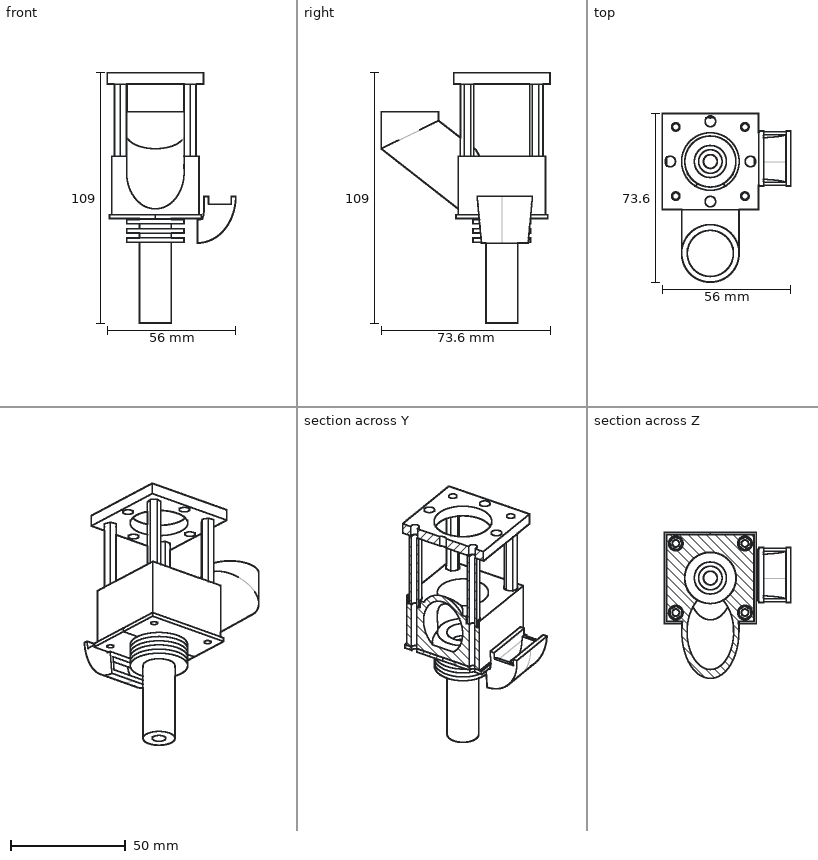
import cadquery as cq
import math

total_height = 109.0
overall_width = 56.0

plate_side = 42.0
plate_thickness = 5.0
plate_opening_diameter = 25.1
plate_screw_hole_diameter = 3.6
plate_access_hole_diameter = 4.6
plate_access_hole_offset = 17.4
plate_bottom = total_height - plate_thickness

housing_side = 38.0
housing_height = 25.4
housing_top = 72.6
housing_bottom = housing_top - housing_height
chamber_diameter = 22.2

post_offset = 15.0
post_corner_diameter = 5.9
post_socket_diameter = 6.1
post_socket_depth = 3.6
screw_diameter = 2.9
posts_layout = [(-1, -1, 26.0), (1, -1, 32.0), (-1, 1, 47.0), (1, 1, 21.0)]

pipe_diameter = 25.1
pipe_bore_diameter = 20.1
pipe_axis_y = -40.0
pipe_top = 92.0
pipe_bend_z = 82.0
pipe_slope = 38.0

clamp_side = 40.0
clamp_thickness = 1.7
clamp_bottom = housing_bottom - clamp_thickness

tube_diameter = 14.0
tube_bore_diameter = 5.9
head_height = 5.0
head_top = housing_bottom + head_height
funnel_top_diameter = 14.0
funnel_neck_diameter = 10.2
funnel_cone_depth = 0.3
fin_diameter = 25.1
fin_thickness = 2.0
fin_pitch = 4.0
fin_count = 3
fin_clearance = 0.3
top_fin_bottom = clamp_bottom - fin_clearance - fin_thickness

duct_outlet_x = 18.3
duct_near_x = 21.1
duct_far_x = overall_width - plate_side / 2
duct_top = 55.2
duct_bottom = 34.8
duct_outlet_top = 45.0
duct_roof_x = 20.4
duct_roof_z = 45.2
duct_bend_start_z = 50.1
duct_roof_bulge = 0.16
duct_wall = 2.1
duct_side_wall = 1.4
duct_center_y = 1.3
duct_top_width = 24.1
duct_bottom_width = 20.4
duct_notch_depth = 3.4


def centered_box(side, bottom, top):
    """Square block on the Z axis between two heights."""
    return cq.Workplane("XY").workplane(offset=bottom).rect(side, side).extrude(top - bottom)


def cylinder(diameter, bottom, top):
    """Cylinder on the Z axis between two heights."""
    return cq.Workplane("XY").workplane(offset=bottom).circle(diameter / 2).extrude(top - bottom)


def corner_cylinders(diameter, bottom, top):
    """One upright cylinder on each post axis."""
    return (
        cq.Workplane("XY")
        .workplane(offset=bottom)
        .rect(2 * post_offset, 2 * post_offset, forConstruction=True)
        .vertices()
        .circle(diameter / 2)
        .extrude(top - bottom)
    )


def make_plate():
    plate = centered_box(plate_side, plate_bottom, total_height)
    plate = plate.cut(cylinder(plate_opening_diameter, plate_bottom, total_height))
    plate = plate.cut(corner_cylinders(plate_screw_hole_diameter, plate_bottom, total_height))
    access_holes = (
        cq.Workplane("XY")
        .workplane(offset=plate_bottom)
        .polarArray(plate_access_hole_offset, 0, 360, 4)
        .circle(plate_access_hole_diameter / 2)
        .extrude(plate_thickness)
    )
    return plate.cut(access_holes)


def make_post(x_sign, y_sign, turn):
    bottom = housing_top - post_socket_depth
    post = (
        cq.Workplane("XY")
        .workplane(offset=bottom)
        .polygon(6, post_corner_diameter)
        .circle(screw_diameter / 2)
        .extrude(plate_bottom - bottom)
    )
    post = post.rotate((0, 0, 0), (0, 0, 1), turn)
    return post.translate((x_sign * post_offset, y_sign * post_offset, 0))


def bent_rod(diameter):
    """Rod that runs from the pipe mouth down to a mitred bend, then slopes to the Z axis."""
    inner_end_z = pipe_bend_z + pipe_axis_y * math.tan(math.radians(pipe_slope))
    path = (
        cq.Workplane("YZ")
        .moveTo(pipe_axis_y, pipe_top)
        .lineTo(pipe_axis_y, pipe_bend_z)
        .lineTo(0, inner_end_z)
    )
    mouth = cq.Workplane("XY", origin=(0, pipe_axis_y, pipe_top)).circle(diameter / 2)
    return mouth.sweep(path, transition="right")


def above(body, height):
    """The part of a body that lies above a height."""
    cutter_side = 4 * plate_side
    return body.cut(centered_box(cutter_side, -total_height, height))


def make_housing():
    block = centered_box(housing_side, housing_bottom, housing_top)
    housing = block.union(above(bent_rod(pipe_diameter), housing_bottom))
    housing = housing.cut(cylinder(chamber_diameter, housing_bottom, total_height))
    housing = housing.cut(above(bent_rod(pipe_bore_diameter), head_top))
    housing = housing.cut(corner_cylinders(screw_diameter, housing_bottom, housing_top))
    sockets = corner_cylinders(post_socket_diameter, housing_top - post_socket_depth, housing_top)
    return housing.cut(sockets)


def make_clamp_half(x_sign):
    half = (
        cq.Workplane("XY")
        .workplane(offset=clamp_bottom)
        .center(x_sign * clamp_side / 4, 0)
        .rect(clamp_side / 2, clamp_side)
        .extrude(clamp_thickness)
    )
    half = half.cut(cylinder(tube_diameter, clamp_bottom, housing_bottom))
    return half.cut(corner_cylinders(screw_diameter, clamp_bottom, housing_bottom))


def make_finned_tube():
    tube = cylinder(tube_diameter, 0, housing_bottom)
    tube = tube.union(cylinder(chamber_diameter, housing_bottom, head_top))
    for index in range(fin_count):
        fin_bottom = top_fin_bottom - index * fin_pitch
        tube = tube.union(cylinder(fin_diameter, fin_bottom, fin_bottom + fin_thickness))
    bore = (
        cq.Workplane("XZ")
        .moveTo(0, 0)
        .lineTo(tube_bore_diameter / 2, 0)
        .lineTo(tube_bore_diameter / 2, housing_bottom - funnel_cone_depth)
        .lineTo(funnel_neck_diameter / 2, housing_bottom)
        .lineTo(funnel_top_diameter / 2, head_top)
        .lineTo(0, head_top)
        .close()
        .revolve(360, (0, 0, 0), (0, 1, 0))
    )
    return tube.cut(bore)


def duct_profile(wall):
    """Side outline of the duct, inset by a wall thickness, extruded along Y."""
    near_x = duct_near_x + wall
    roof = (duct_roof_x + wall, duct_roof_z - wall)
    roof_middle = (near_x - duct_roof_bulge, (duct_bend_start_z + roof[1]) / 2)
    bend_width = duct_far_x - wall - duct_outlet_x
    bend_height = duct_top - duct_bottom - wall
    outer_bend = (
        cq.Workplane("XZ")
        .center(duct_outlet_x, duct_top)
        .ellipse(bend_width, bend_height)
        .extrude(plate_side, both=True)
    )
    bounds = (
        cq.Workplane("XZ")
        .moveTo(near_x, duct_top)
        .lineTo(near_x, duct_bend_start_z)
        .threePointArc(roof_middle, roof)
        .lineTo(duct_outlet_x, duct_outlet_top - wall)
        .lineTo(duct_outlet_x, duct_bottom)
        .lineTo(duct_far_x, duct_bottom)
        .lineTo(duct_far_x, duct_top)
        .close()
        .extrude(plate_side, both=True)
    )
    return bounds.intersect(outer_bend)


def duct_taper(side_wall):
    """Wedge along X that narrows from the duct's top to its bottom."""
    top_half = duct_top_width / 2 - side_wall
    bottom_half = duct_bottom_width / 2 - side_wall
    return (
        cq.Workplane("YZ")
        .moveTo(duct_center_y - top_half, duct_top)
        .lineTo(duct_center_y + top_half, duct_top)
        .lineTo(duct_center_y + bottom_half, duct_bottom)
        .lineTo(duct_center_y - bottom_half, duct_bottom)
        .close()
        .extrude(plate_side)
    )


def make_duct():
    duct = duct_profile(0).intersect(duct_taper(0))
    duct = duct.cut(duct_profile(duct_wall).intersect(duct_taper(duct_side_wall)))
    notch_start = duct_near_x + duct_wall
    notch_end = duct_far_x - duct_wall
    notch = cq.Workplane("XY").box(
        notch_end - notch_start, 2 * duct_top_width, duct_notch_depth, centered=(False, True, False)
    )
    return duct.cut(notch.translate((notch_start, 0, duct_top - duct_notch_depth)))


plate = make_plate()
posts = [make_post(*layout) for layout in posts_layout]
housing = make_housing()
clamp_halves = [make_clamp_half(x_sign) for x_sign in (-1, 1)]
finned_tube = make_finned_tube()
duct = make_duct()

result = cq.Compound.makeCompound(
    [
        plate.val(),
        *[post.val() for post in posts],
        housing.val(),
        *[half.val() for half in clamp_halves],
        finned_tube.val(),
        duct.val(),
    ]
)